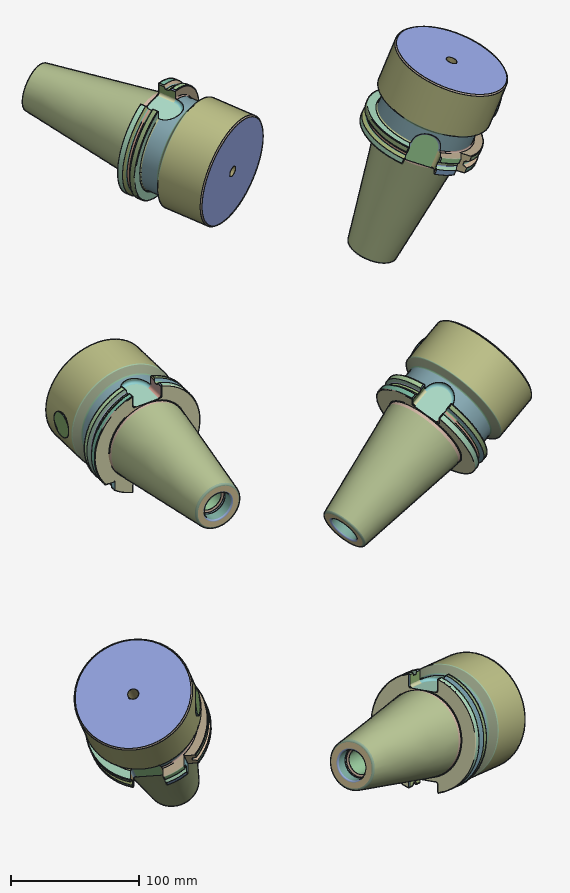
import cadquery as cq
import math

TOTAL_LENGTH = 180.7
TAPER_END_X = 101.4
TAPER_RADIUS = 35.0
TAPER_SLOPE = 7 / 48
SMALL_END_RADIUS = TAPER_RADIUS - TAPER_SLOPE * TAPER_END_X
SMALL_END_FILLET = 1.8

FLANGE_FRONT_X = 104.8
FLANGE_BACK_X = 120.7
FLANGE_RADIUS = 48.6
FLANGE_EDGE_FILLET = 0.5
TAPER_ROOT_FILLET = 0.5

GROOVE_CENTER_X = 113.0
GROOVE_FLOOR_RADIUS = 45.5
GROOVE_FLOOR_WIDTH = 3.0
GROOVE_FLOOR_FILLET = 0.9
GROOVE_FLANK_ANGLE = math.radians(60)
GROOVE_FLANK_RUN = (FLANGE_RADIUS - GROOVE_FLOOR_RADIUS) / math.tan(GROOVE_FLANK_ANGLE)

NECK_RADIUS = 40.0
NECK_END_X = 136.6
NECK_FILLET = 1.3
NECK_ROOT_FILLET = 1.0

HEAD_RADIUS = 47.0
HEAD_SHOULDER_ANGLE = math.radians(60)
HEAD_START_X = NECK_END_X + (HEAD_RADIUS - NECK_RADIUS) / math.tan(HEAD_SHOULDER_ANGLE)
HEAD_SHOULDER_FILLET = 1.0
HEAD_END_CHAMFER = 1.0

SLOT_WIDTH = 25.7
SLOT_FLOOR_FILLET = 2.2
TOP_SLOT_FLOOR = 35.2
BOTTOM_SLOT_FLOOR = 37.8
SLOT_MOUTH_CHAMFER = 0.7
SLOT_RIM_CHAMFER = 1.3
NOTCH_Y = 29.8
NOTCH_Z = -29.5

BORE_RADIUS = 12.5
BORE_MOUTH_FILLET = 1.3
BORE_DEPTH = 10.0
STEP_RADIUS = 12.3
STEP_DEPTH = 11.7
STEP_CHAMFER_ANGLE = math.radians(60)
THREAD_RADIUS = 10.5
THREAD_DEPTH = 47.0
COOLANT_RADIUS = 4.3
DRILL_POINT_HALF_ANGLE = math.radians(59)

SCREW_X = 156.5
SCREW_RADIUS = 10.8
SCREW_LENGTH = 21.7


def revolve_about_x(points):
    """Turn an outline of (x, radius) points about the X axis."""
    return cq.Workplane("XY").polyline(points).close().revolve(360, (0, 0, 0), (1, 0, 0))


def circle_at(body, x, radius):
    """The circular edges about X that pass through the given x and radius."""
    tolerance = 0.02
    return body.newObject([
        edge for edge in body.edges("%CIRCLE").vals()
        if abs(edge.radius() - radius) < tolerance and abs(edge.arcCenter().x - x) < tolerance
    ])


def turned_body():
    """Taper, grooved flange, neck and head with their rounded edges."""
    floor_half = GROOVE_FLOOR_WIDTH / 2
    rim_half = floor_half + GROOVE_FLANK_RUN
    body = revolve_about_x([
        (0, 0),
        (0, SMALL_END_RADIUS),
        (TAPER_END_X, TAPER_RADIUS),
        (FLANGE_FRONT_X, TAPER_RADIUS),
        (FLANGE_FRONT_X, FLANGE_RADIUS),
        (GROOVE_CENTER_X - rim_half, FLANGE_RADIUS),
        (GROOVE_CENTER_X - floor_half, GROOVE_FLOOR_RADIUS),
        (GROOVE_CENTER_X + floor_half, GROOVE_FLOOR_RADIUS),
        (GROOVE_CENTER_X + rim_half, FLANGE_RADIUS),
        (FLANGE_BACK_X, FLANGE_RADIUS),
        (FLANGE_BACK_X, NECK_RADIUS),
        (NECK_END_X, NECK_RADIUS),
        (HEAD_START_X, HEAD_RADIUS),
        (TOTAL_LENGTH, HEAD_RADIUS),
        (TOTAL_LENGTH, 0),
    ])
    for x, radius, fillet in [
        (0, SMALL_END_RADIUS, SMALL_END_FILLET),
        (FLANGE_FRONT_X, TAPER_RADIUS, TAPER_ROOT_FILLET),
        (GROOVE_CENTER_X - floor_half, GROOVE_FLOOR_RADIUS, GROOVE_FLOOR_FILLET),
        (GROOVE_CENTER_X + floor_half, GROOVE_FLOOR_RADIUS, GROOVE_FLOOR_FILLET),
        (FLANGE_BACK_X, NECK_RADIUS, NECK_ROOT_FILLET),
        (NECK_END_X, NECK_RADIUS, NECK_FILLET),
        (HEAD_START_X, HEAD_RADIUS, HEAD_SHOULDER_FILLET),
        (FLANGE_FRONT_X, FLANGE_RADIUS, FLANGE_EDGE_FILLET),
        (FLANGE_BACK_X, FLANGE_RADIUS, FLANGE_EDGE_FILLET),
    ]:
        body = circle_at(body, x, radius).fillet(fillet)
    return circle_at(body, TOTAL_LENGTH, HEAD_RADIUS).chamfer(HEAD_END_CHAMFER)


def stepped_bore():
    """Pull-stud bore, threaded hole and drill point, running into the coolant hole."""
    chamfer = (STEP_RADIUS - THREAD_RADIUS) / math.tan(STEP_CHAMFER_ANGLE)
    point = (THREAD_RADIUS - COOLANT_RADIUS) / math.tan(DRILL_POINT_HALF_ANGLE)
    mouth = BORE_MOUTH_FILLET
    outline = (
        cq.Workplane("XY")
        .lineTo(0, BORE_RADIUS + mouth)
        .radiusArc((mouth, BORE_RADIUS), -mouth)
        .lineTo(BORE_DEPTH, BORE_RADIUS)
        .lineTo(BORE_DEPTH, STEP_RADIUS)
        .lineTo(STEP_DEPTH, STEP_RADIUS)
        .lineTo(STEP_DEPTH + chamfer, THREAD_RADIUS)
        .lineTo(THREAD_DEPTH, THREAD_RADIUS)
        .lineTo(THREAD_DEPTH + point, COOLANT_RADIUS)
        .lineTo(TOTAL_LENGTH, COOLANT_RADIUS)
        .lineTo(TOTAL_LENGTH, 0)
        .close()
    )
    return outline.revolve(360, (0, 0, 0), (1, 0, 0))


def slot_channel(floor):
    """Round-ended channel of a drive slot above the axis, open towards the taper."""
    half_width = SLOT_WIDTH / 2
    return (
        cq.Workplane("XY", origin=(0, 0, floor))
        .moveTo(TAPER_END_X, -half_width)
        .lineTo(FLANGE_BACK_X, -half_width)
        .threePointArc((FLANGE_BACK_X + half_width, 0), (FLANGE_BACK_X, half_width))
        .lineTo(TAPER_END_X, half_width)
        .close()
        .extrude(FLANGE_RADIUS - floor)
        .faces("<Z").edges("not(<X)").fillet(SLOT_FLOOR_FILLET)
    )


def slot_mouth_flare(floor):
    """45-degree flare of the slot's walls and corner rounds at the flange's front face."""
    half_width = SLOT_WIDTH / 2 + SLOT_MOUTH_CHAMFER
    corner = SLOT_FLOOR_FILLET + SLOT_MOUTH_CHAMFER
    bottom = floor - SLOT_MOUTH_CHAMFER
    top = FLANGE_RADIUS + SLOT_MOUTH_CHAMFER
    flare = (
        cq.Workplane("YZ", origin=(FLANGE_FRONT_X, 0, 0))
        .moveTo(-half_width, top)
        .lineTo(-half_width, bottom + corner)
        .radiusArc((-half_width + corner, bottom), -corner)
        .lineTo(half_width - corner, bottom)
        .radiusArc((half_width, bottom + corner), -corner)
        .lineTo(half_width, top)
        .close()
        .extrude(SLOT_MOUTH_CHAMFER, taper=45)
    )
    below_floor = (
        cq.Workplane("XY", origin=(FLANGE_FRONT_X, 0, floor))
        .rect(2 * SLOT_WIDTH, 2 * SLOT_WIDTH)
        .extrude(-2 * SLOT_MOUTH_CHAMFER)
    )
    return flare.cut(below_floor)


def slot_rim_flare():
    """45-degree flare along the top edges where the slot's walls meet the flange's rims."""
    half_width = SLOT_WIDTH / 2
    edge_z = math.sqrt(FLANGE_RADIUS**2 - half_width**2)
    rise = FLANGE_RADIUS - edge_z
    return (
        cq.Workplane("YZ", origin=(FLANGE_FRONT_X, 0, 0))
        .moveTo(-half_width, edge_z - SLOT_RIM_CHAMFER)
        .lineTo(half_width, edge_z - SLOT_RIM_CHAMFER)
        .lineTo(half_width + SLOT_RIM_CHAMFER + rise, FLANGE_RADIUS)
        .lineTo(-half_width - SLOT_RIM_CHAMFER - rise, FLANGE_RADIUS)
        .close()
        .extrude(FLANGE_BACK_X - FLANGE_FRONT_X)
    )


def slot_cutter(floor):
    """Drive slot with the chamfers along its edges."""
    return slot_channel(floor).union(slot_mouth_flare(floor)).union(slot_rim_flare())


def notch_cutter():
    """Square corner notch cut through the flange."""
    return cq.Workplane("XY").box(
        FLANGE_BACK_X - FLANGE_FRONT_X, FLANGE_RADIUS, FLANGE_RADIUS, centered=False
    ).translate((FLANGE_FRONT_X, NOTCH_Y, NOTCH_Z - FLANGE_RADIUS))


def screw():
    """Plain clamping screw, its outer end level with the head's surface."""
    return (
        cq.Workplane("XZ", origin=(SCREW_X, HEAD_RADIUS, 0))
        .circle(SCREW_RADIUS)
        .extrude(SCREW_LENGTH)
    )


def holder():
    """Tool holder with its bore, drive slots, notch and screw hole."""
    body = turned_body().cut(stepped_bore())
    body = body.cut(slot_cutter(TOP_SLOT_FLOOR))
    body = body.cut(slot_cutter(BOTTOM_SLOT_FLOOR).rotate((0, 0, 0), (1, 0, 0), 180))
    body = body.cut(notch_cutter())
    return body.cut(screw())


result = cq.Compound.makeCompound([holder().val(), screw().val()])